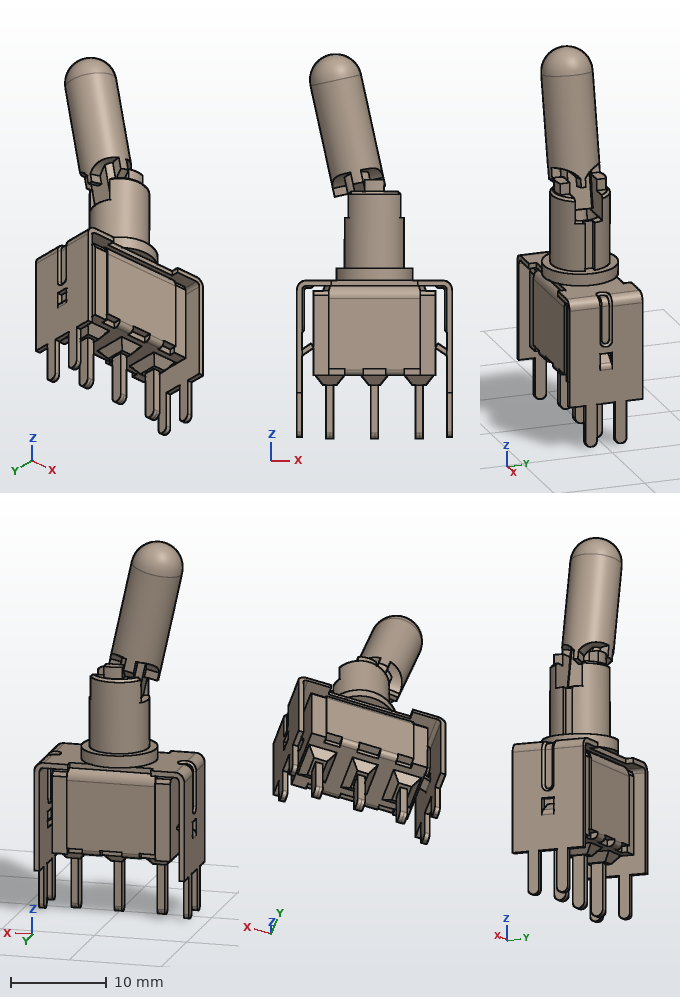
import cadquery as cq
import math

OVERALL_HEIGHT = 40.3

CASE_HALF_LENGTH = 6.4
CASE_HALF_WIDTH = 3.25
CASE_BOTTOM = 6.65
CASE_TOP = 15.5
CASE_EDGE_HEIGHT = 0.5
CASE_EDGE_WIDTH = 0.2
CASE_WAIST_HALF_WIDTH = 2.6
FRAME_HALF_LENGTH = 4.8
FRAME_TOP_HALF_LENGTH = 4.65
FRAME_HALF_WIDTH = 3.45
FRAME_BOTTOM = 7.35
FRAME_BEND = 1.3
CRIMP_X = 2.15
CRIMP_LENGTH = 1.95
CRIMP_DEPTH = 1.05
CRIMP_BEND = 0.6
RIDGE_RADIUS = 5.4
RIDGE_TAPER = 20.0
RIDGE_HALF_WIDTH = 2.4

SHEET = 0.55
BRACKET_HALF_LENGTH = 8.15
BRACKET_WIDTH = 8.15
BRACKET_TOP = 16.6
BRACKET_BOTTOM = 4.85
BRACKET_BEND = 1.0
CUTOUT_HALF_LENGTH = 4.5
CUTOUT_HALF_WIDTH = 3.22
LEG_Y = 1.65
LEG_WIDTH = 1.25
LEG_TIP = 0.2
LEG_ROUND = 0.55

BEAD_WIDTH = 1.35
BEAD_FLOOR_WIDTH = 0.8
BEAD_DEPTH = 0.25
BEAD_END_X = 6.35
BEAD_END_Z = 11.1

TAB_WIDTH = 1.35
WINDOW_BOTTOM = 8.62
WINDOW_TOP = 10.4
TAB_BEND = 0.73
TAB_TURN = 56.0
TAB_LENGTH = 1.4

TERMINAL_PITCH = 4.67
TERMINAL_WIDTH = 1.33
TERMINAL_THICKNESS = 0.8
PAD_BOTTOM = 5.65
PAD_LENGTH = 3.05
CENTER_PAD_LENGTH = 2.82
PAD_WIDTH = 3.8
PAD_SLOPE = 0.8

FLANGE_DIAMETER = 8.0
FLANGE_TOP = 17.9
BUSHING_DIAMETER = 6.3
BUSHING_TOP = 25.9
BUSHING_CHAMFER = 0.3
SLOT_WIDTH = 3.02
SLOT_FLOOR = 23.15
POST_LENGTH = 2.0
POST_RADIUS = 2.75
POST_TOP = 27.15
KEYWAY_WIDTH = 1.1
KEYWAY_FLOOR_X = 2.38

PIVOT_Z = 18.95
LEVER_TILT = 12.3
BALL_DIAMETER = 4.2
CAP_DIAMETER = 5.45
CAP_BOTTOM = 7.15
CUT_MARGIN = 0.4
NECK_RADIUS = 1.0
STEM_BOTTOM = 4.65
STEM_RADIUS = 1.77
STEM_HALF_LENGTH = 1.3
RIB_HALF_WIDTH = 0.545
TONGUE_HALF_WIDTH = 0.26
ARCH_RADIUS = 3.02
ARCH_TOP = 9.3
BEVEL_HALF_WIDTH = 1.45
BEVEL_START = 6.97
BEVEL_ANGLE = 40.0

ball_radius = BALL_DIAMETER / 2
cap_radius = CAP_DIAMETER / 2
dome_center = (OVERALL_HEIGHT - cap_radius - PIVOT_Z) / math.cos(math.radians(LEVER_TILT))
ceiling = BRACKET_TOP - SHEET


def block(x0, x1, y0, y1, z0, z1):
    """Box between two corner points."""
    return cq.Workplane("XY").box(x1 - x0, y1 - y0, z1 - z0, centered=False).translate((x0, y0, z0))


def prism_x(outline, half_length):
    """Extrude a YZ outline equally to both sides of X = 0."""
    return outline.close().extrude(half_length, both=True)


def make_stem():
    """Round stem with a flat on each X side."""
    height = ARCH_TOP - STEM_BOTTOM
    stem = cq.Workplane("XY", origin=(0, 0, STEM_BOTTOM)).circle(STEM_RADIUS).extrude(height)
    between_flats = block(
        -STEM_HALF_LENGTH, STEM_HALF_LENGTH, -STEM_RADIUS, STEM_RADIUS, STEM_BOTTOM, ARCH_TOP
    )
    return stem.intersect(between_flats)


def make_arch_cutter():
    """Arched space that leaves a thin tongue on the X sides of the cap."""
    arch_center = ARCH_TOP - ARCH_RADIUS
    outside = cap_radius + CUT_MARGIN
    floor = CAP_BOTTOM - CUT_MARGIN

    def arch_height(y):
        return arch_center + math.sqrt(ARCH_RADIUS**2 - (cap_radius - y) ** 2)

    middle = (TONGUE_HALF_WIDTH + cap_radius) / 2
    outline = (
        cq.Workplane("YZ")
        .moveTo(TONGUE_HALF_WIDTH, floor)
        .lineTo(TONGUE_HALF_WIDTH, arch_height(TONGUE_HALF_WIDTH))
        .threePointArc((middle, arch_height(middle)), (cap_radius, ARCH_TOP))
        .lineTo(outside, ARCH_TOP)
        .lineTo(outside, floor)
    )
    one_side = prism_x(outline, outside)
    ribs = block(-RIB_HALF_WIDTH, RIB_HALF_WIDTH, -outside, outside, floor, ARCH_TOP + CUT_MARGIN)
    return one_side.union(one_side.mirror("XZ")).cut(ribs)


def make_bevel_cutter():
    """Space below the sloping undersides of the ribs and beside the stem."""
    outside = cap_radius + CUT_MARGIN
    rise = (outside - BEVEL_HALF_WIDTH) * math.tan(math.radians(BEVEL_ANGLE))
    outline = (
        cq.Workplane("YZ")
        .moveTo(BEVEL_HALF_WIDTH, 0)
        .lineTo(BEVEL_HALF_WIDTH, BEVEL_START)
        .lineTo(outside, BEVEL_START + rise)
        .lineTo(outside, 0)
    )
    one_side = prism_x(outline, outside)
    return one_side.union(one_side.mirror("XZ"))


def make_cap():
    """Cylindrical cap that ends in a round dome."""
    cylinder = (
        cq.Workplane("XY", origin=(0, 0, CAP_BOTTOM)).circle(cap_radius).extrude(dome_center - CAP_BOTTOM)
    )
    dome = cq.Workplane("XY", origin=(0, 0, dome_center)).sphere(cap_radius)
    return cylinder.union(dome)


def make_lever(cheeks):
    """Tilted lever: round-ended cap, forked underside, stem and pivot ball."""
    neck = cq.Workplane("XY").circle(NECK_RADIUS).extrude(STEM_BOTTOM)
    ball = cq.Workplane("XY").sphere(ball_radius)
    lever = make_cap().cut(make_arch_cutter()).union(make_stem()).cut(make_bevel_cutter())
    lever = lever.union(neck).union(ball)
    lever = lever.rotate((0, 0, 0), (0, 1, 0), -LEVER_TILT).translate((0, 0, PIVOT_Z))
    return lever.cut(cheeks)


def make_cheeks():
    """Slotted upper end of the bushing with a locking post on each cheek."""
    radius = BUSHING_DIAMETER / 2
    half = POST_LENGTH / 2
    base = cq.Workplane("XY", origin=(0, 0, SLOT_FLOOR))
    collar = base.circle(radius).extrude(BUSHING_TOP - SLOT_FLOOR).faces(">Z").chamfer(BUSHING_CHAMFER)
    column = base.circle(POST_RADIUS).extrude(POST_TOP - SLOT_FLOOR)
    posts = column.intersect(block(-half, half, -POST_RADIUS, POST_RADIUS, SLOT_FLOOR, POST_TOP))
    slot = block(-radius, radius, -SLOT_WIDTH / 2, SLOT_WIDTH / 2, SLOT_FLOOR, POST_TOP)
    return collar.union(posts).cut(slot)


def make_bushing(cheeks):
    """Flanged bushing with a ball socket, a keyway and two cheeks."""
    radius = BUSHING_DIAMETER / 2
    flange = (
        cq.Workplane("XY", origin=(0, 0, BRACKET_TOP))
        .circle(FLANGE_DIAMETER / 2)
        .extrude(FLANGE_TOP - BRACKET_TOP)
    )
    barrel = cq.Workplane("XY", origin=(0, 0, BRACKET_TOP)).circle(radius).extrude(SLOT_FLOOR - BRACKET_TOP)
    keyway = block(KEYWAY_FLOOR_X, radius, -KEYWAY_WIDTH / 2, KEYWAY_WIDTH / 2, FLANGE_TOP, SLOT_FLOOR)
    pivot = cq.Workplane("XY", origin=(0, 0, PIVOT_Z))
    bore = pivot.circle(ball_radius).extrude(SLOT_FLOOR - PIVOT_Z)
    seat = pivot.sphere(ball_radius)
    return flange.union(barrel).cut(keyway).union(cheeks).cut(bore).cut(seat)


def make_bead(offset):
    """Bead along the +X bend, starting at a depth `offset` below the outer skin."""
    side_x = BRACKET_HALF_LENGTH - offset
    top_z = BRACKET_TOP - offset
    bend = BRACKET_BEND - offset
    wide = BEAD_WIDTH / 2
    narrow = BEAD_FLOOR_WIDTH / 2
    start_z = BEAD_END_Z + wide
    finish_x = BEAD_END_X + wide
    bend_x = side_x - bend
    bend_z = top_z - bend
    lean = bend * math.sqrt(0.5)
    path = (
        cq.Workplane("XZ")
        .moveTo(side_x, start_z)
        .lineTo(side_x, bend_z)
        .threePointArc((bend_x + lean, bend_z + lean), (bend_x, top_z))
        .lineTo(finish_x, top_z)
    )
    section = [(0, -wide), (0, wide), (-BEAD_DEPTH, narrow), (-BEAD_DEPTH, -narrow)]
    run = cq.Workplane("XY", origin=(side_x, 0, start_z)).polyline(section).close().sweep(path)

    def rounded_end(x, z, direction):
        cone = cq.Solid.makeCone(wide, narrow, BEAD_DEPTH, cq.Vector(x, 0, z), cq.Vector(*direction))
        return cq.Workplane(cone)

    side_end = rounded_end(side_x, start_z, (-1, 0, 0))
    top_end = rounded_end(finish_x, top_z, (0, 0, -1))
    return run.union(side_end).union(top_end)


def make_tab():
    """Spring tab that leaves the foot of the +X window and leans in and up."""
    turn = math.radians(TAB_TURN)
    bend_x = BRACKET_HALF_LENGTH - TAB_BEND

    def on_bend(radius, angle, reach=0.0):
        x = bend_x + radius * math.cos(angle) - reach * math.sin(turn)
        z = WINDOW_BOTTOM + radius * math.sin(angle) + reach * math.cos(turn)
        return x, z

    inner = TAB_BEND - SHEET
    return (
        cq.Workplane("XZ")
        .moveTo(*on_bend(TAB_BEND, 0))
        .threePointArc(on_bend(TAB_BEND, turn / 2), on_bend(TAB_BEND, turn))
        .lineTo(*on_bend(TAB_BEND, turn, TAB_LENGTH))
        .lineTo(*on_bend(inner, turn, TAB_LENGTH))
        .lineTo(*on_bend(inner, turn))
        .threePointArc(on_bend(inner, turn / 2), on_bend(inner, 0))
        .close()
        .extrude(TAB_WIDTH / 2, both=True)
    )


def make_bracket_side_features():
    """Material to remove from and to add to the +X half of the bracket."""
    inside_x = BRACKET_HALF_LENGTH - SHEET
    half_tab = TAB_WIDTH / 2
    window = block(inside_x, BRACKET_HALF_LENGTH, -half_tab, half_tab, WINDOW_BOTTOM, WINDOW_TOP)
    removed = window.union(make_bead(0))
    added = make_tab()
    for leg_y in (-LEG_Y, LEG_Y):
        y0 = leg_y - LEG_WIDTH / 2
        leg = block(inside_x, BRACKET_HALF_LENGTH, y0, y0 + LEG_WIDTH, LEG_TIP, BRACKET_BOTTOM)
        added = added.union(leg.faces("<Z").edges("|X").fillet(LEG_ROUND))
    return removed, added.union(make_bead(SHEET))


def make_bracket():
    """Inverted U bracket with beads, spring tabs and mounting legs."""
    half_width = BRACKET_WIDTH / 2
    inside_x = BRACKET_HALF_LENGTH - SHEET
    outer = block(
        -BRACKET_HALF_LENGTH, BRACKET_HALF_LENGTH, -half_width, half_width, BRACKET_BOTTOM, BRACKET_TOP
    )
    inner = block(-inside_x, inside_x, -half_width, half_width, BRACKET_BOTTOM, ceiling)
    outer = outer.faces(">Z").edges("|Y").fillet(BRACKET_BEND)
    inner = inner.faces(">Z").edges("|Y").fillet(BRACKET_BEND - SHEET)
    bracket = outer.cut(inner)
    cutout = block(
        -CUTOUT_HALF_LENGTH, CUTOUT_HALF_LENGTH, CUTOUT_HALF_WIDTH, half_width, ceiling, BRACKET_TOP
    )
    bracket = bracket.cut(cutout).cut(cutout.mirror("XZ"))
    removed, added = make_bracket_side_features()
    bracket = bracket.cut(removed).cut(removed.mirror("YZ"))
    return bracket.union(added).union(added.mirror("YZ"))


def make_case():
    """Switch case with its strap-over frame and the crimped frame tabs."""
    edge_y = CASE_HALF_WIDTH - CASE_EDGE_WIDTH
    end_half = [
        (CASE_HALF_WIDTH, CASE_BOTTOM),
        (CASE_HALF_WIDTH, CASE_TOP - CASE_EDGE_HEIGHT),
        (edge_y, CASE_TOP),
    ]
    case = prism_x(
        cq.Workplane("YZ").polyline(end_half + [(-y, z) for y, z in reversed(end_half)]), CASE_HALF_LENGTH
    )
    waist = block(
        -FRAME_HALF_LENGTH, FRAME_HALF_LENGTH, CASE_WAIST_HALF_WIDTH, CASE_HALF_WIDTH, CASE_BOTTOM, CASE_TOP
    )
    case = case.cut(waist).cut(waist.mirror("XZ"))
    ridge = (
        cq.Workplane("XY", origin=(0, 0, CASE_TOP))
        .circle(RIDGE_RADIUS)
        .extrude(ceiling - CASE_TOP, taper=RIDGE_TAPER)
        .intersect(
            block(-RIDGE_RADIUS, RIDGE_RADIUS, -RIDGE_HALF_WIDTH, RIDGE_HALF_WIDTH, CASE_TOP, ceiling)
        )
    )
    frame_half = [
        (FRAME_HALF_LENGTH, FRAME_BOTTOM),
        (FRAME_HALF_LENGTH, CASE_TOP),
        (FRAME_TOP_HALF_LENGTH, ceiling),
    ]
    frame = (
        cq.Workplane("XZ")
        .polyline(frame_half + [(-x, z) for x, z in reversed(frame_half)])
        .close()
        .extrude(FRAME_HALF_WIDTH, both=True)
        .faces(">Z")
        .edges("|X")
        .fillet(FRAME_BEND)
    )
    case = case.union(ridge).union(frame)
    for x in (-CRIMP_X, CRIMP_X):
        x0 = x - CRIMP_LENGTH / 2
        y0 = -FRAME_HALF_WIDTH
        crimp = block(x0, x0 + CRIMP_LENGTH, y0, y0 + CRIMP_DEPTH, CASE_BOTTOM, FRAME_BOTTOM)
        rounded = crimp.edges("<Y and <Z").fillet(CRIMP_BEND)
        case = case.cut(crimp).cut(crimp.mirror("XZ"))
        case = case.union(rounded).union(rounded.mirror("XZ"))
    return case


def make_terminal(x, pad_length):
    """Round-tipped flat terminal below a tapered sealing pad."""
    half_width = TERMINAL_WIDTH / 2
    half_thickness = TERMINAL_THICKNESS / 2
    narrowing = 2 * PAD_SLOPE * (CASE_BOTTOM - PAD_BOTTOM)
    blade = block(x - half_thickness, x + half_thickness, -half_width, half_width, half_width, CASE_BOTTOM)
    tip = (
        cq.Workplane("YZ", origin=(x, 0, half_width)).circle(half_width).extrude(half_thickness, both=True)
    )
    pad = (
        cq.Workplane("XY", origin=(x, 0, CASE_BOTTOM))
        .rect(pad_length, PAD_WIDTH)
        .workplane(offset=PAD_BOTTOM - CASE_BOTTOM)
        .rect(pad_length - narrowing, PAD_WIDTH - narrowing)
        .loft()
    )
    return blade.union(tip).union(pad)


def make_housing(cheeks):
    """Case, bracket, bushing and terminals as one solid."""
    housing = make_case().union(make_bracket()).union(make_bushing(cheeks))
    housing = housing.union(make_terminal(0, CENTER_PAD_LENGTH))
    for x in (-TERMINAL_PITCH, TERMINAL_PITCH):
        housing = housing.union(make_terminal(x, PAD_LENGTH))
    return housing


bushing_cheeks = make_cheeks()
housing = make_housing(bushing_cheeks)
lever = make_lever(bushing_cheeks)

result = cq.Compound.makeCompound([housing.solids().val(), lever.solids().val()])